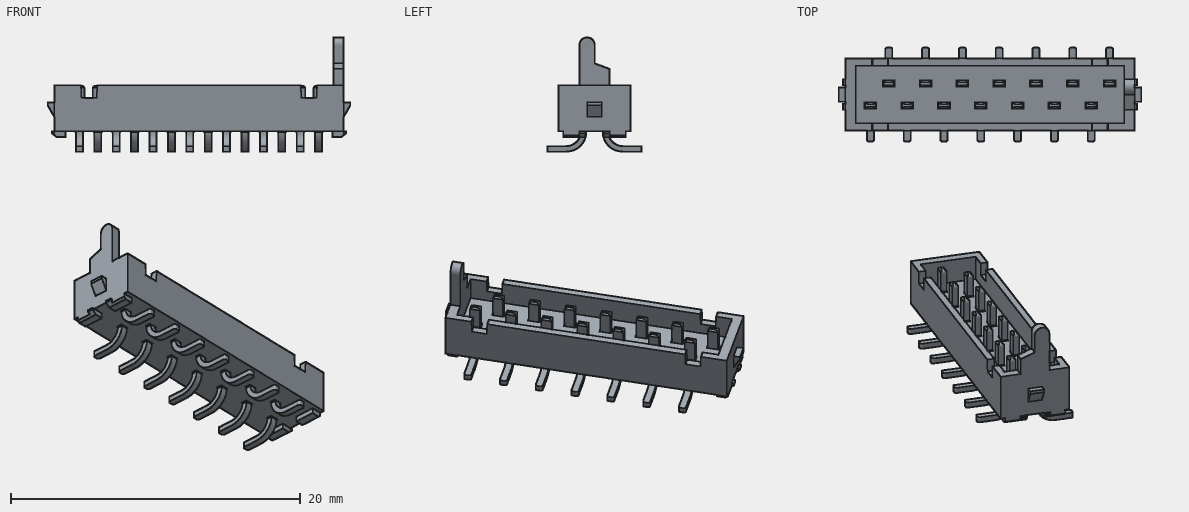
import cadquery as cq


overall_length = 20.9
overall_width = 6.5
latch_reach = 0.45
body_length = overall_length - 2 * latch_reach
body_width = 5.0
body_height = 3.2
end_wall = 0.71
side_wall = 0.5
cavity_depth = 1.7

notch_center_x = 7.59
notch_top_width = 1.13
notch_bottom_width = 1.05
notch_depth = 0.88

latch_width = 1.0
latch_top_z = 2.0
latch_flat_height = 0.2
latch_height = 1.0

foot_length = 0.77
foot_height = 0.4
foot_inner_y = 0.63
foot_outer_y = 2.17
tab_reach = 0.17
tab_outer_y = 1.07
foot_chamfer_run = 0.33
foot_chamfer_rise = 0.27

arm_height = 3.3
arm_half_width = 1.05
arm_tip_width = 1.07
shoulder_low = 1.13
shoulder_high = 1.5

contact_count = 14
contact_span = 16.51
contact_pitch = contact_span / (contact_count - 1)
row_y = 0.75
pin_width = 0.71
pin_thickness = 0.44
pin_below_rim = 0.05
pin_tip_radius = 0.2
pin_tip_chamfer = 0.13
barb = 0.06
leg_width = 0.5
leg_thickness = 0.4
leg_drop = 1.4
leg_end_y = overall_width / 2
leg_end_radius = 0.15

floor_z = body_height - cavity_depth
body_end_x = body_length / 2
embed = 0.2


def centered_box(x_size, y_size, z_size, x=0.0, y=0.0, z=0.0):
    """Box centered on (x, y) with its base at z."""
    return cq.Workplane("XY").box(x_size, y_size, z_size, (True, True, False)).translate((x, y, z))


def extrude_across(points, y_start, y_end):
    """Extrude a closed XZ outline from y_start to y_end."""
    outline = cq.Workplane("XZ", origin=(0, y_start, 0)).polyline(points).close()
    return outline.extrude(y_start - y_end)


def make_housing():
    """Open-topped shroud with two notches through each side wall."""
    housing = centered_box(body_length, body_width, body_height)
    cavity = centered_box(
        body_length - 2 * end_wall, body_width - 2 * side_wall, cavity_depth, z=floor_z
    )
    housing = housing.cut(cavity)
    for side in (-1, 1):
        center = side * notch_center_x
        notch = [
            (center - notch_top_width / 2, body_height),
            (center - notch_bottom_width / 2, body_height - notch_depth),
            (center + notch_bottom_width / 2, body_height - notch_depth),
            (center + notch_top_width / 2, body_height),
        ]
        housing = housing.cut(extrude_across(notch, -body_width / 2, body_width / 2))
    return housing


def make_latch():
    """Wedge latch on the +X end face."""
    tip_x = body_end_x + latch_reach
    outline = [
        (body_end_x - embed, latch_top_z),
        (tip_x, latch_top_z),
        (tip_x, latch_top_z - latch_flat_height),
        (body_end_x, latch_top_z - latch_height),
        (body_end_x - embed, latch_top_z - latch_height),
    ]
    return extrude_across(outline, -latch_width / 2, latch_width / 2)


def make_foot():
    """Foot at the +X, +Y corner: its outer lower edge is cut by one slope shared with the tab."""
    inner_x = body_end_x - foot_length
    tip_x = body_end_x + tab_reach
    tab_outline = [
        (inner_x, 0),
        (tip_x, 0),
        (tip_x, foot_chamfer_rise - foot_height),
        (tip_x - foot_chamfer_run, -foot_height),
        (inner_x, -foot_height),
    ]
    tab = extrude_across(tab_outline, foot_inner_y, tab_outer_y)
    full_width = extrude_across(tab_outline, foot_inner_y, foot_outer_y)
    under_body = centered_box(body_length, body_width, foot_height, z=-foot_height)
    return full_width.intersect(under_body).union(tab)


def make_arm():
    """Round-tipped arm, flush with the +X end wall, with a sloping shoulder on its -Y side."""
    tip_radius = arm_tip_width / 2
    stem_y = arm_half_width - arm_tip_width
    top_z = body_height + arm_height
    outline = (
        cq.Workplane("YZ", origin=(body_end_x - end_wall, 0, 0))
        .moveTo(-arm_half_width, body_height - embed)
        .lineTo(-arm_half_width, body_height + shoulder_low)
        .lineTo(stem_y, body_height + shoulder_high)
        .lineTo(stem_y, top_z - tip_radius)
        .threePointArc((stem_y + tip_radius, top_z), (arm_half_width, top_z - tip_radius))
        .lineTo(arm_half_width, body_height - embed)
        .close()
    )
    return outline.extrude(end_wall)


def make_pin():
    """Blade above the floor: ends rounded in X, sides chamfered in Y, small barbs at the floor."""
    base_z = floor_z - embed
    height = body_height - pin_below_rim - base_z
    rounded = centered_box(pin_width, pin_thickness, height, z=base_z)
    rounded = rounded.faces(">Z").edges("|Y").fillet(pin_tip_radius)
    beveled = centered_box(pin_width, pin_thickness, height, z=base_z)
    beveled = beveled.faces(">Z").edges("|X").chamfer(pin_tip_chamfer)
    return rounded.intersect(beveled)


def make_barbs(width, thickness, face_z, direction):
    """Wedges on both X sides of a contact, tapering away from a housing face."""
    half = width / 2
    outline = [
        (-half - barb, face_z - direction * embed),
        (-half - barb, face_z),
        (-half, face_z + direction * barb),
        (half, face_z + direction * barb),
        (half + barb, face_z),
        (half + barb, face_z - direction * embed),
    ]
    return extrude_across(outline, -thickness / 2, thickness / 2)


def make_leg():
    """Gull-wing leg leaving the underside at Y = 0 and bending toward +Y."""
    half = leg_thickness / 2
    outer_radius = leg_drop
    bend_y = outer_radius - half
    end_y = leg_end_y - row_y
    leg = (
        cq.Workplane("YZ", origin=(-leg_width / 2, 0, 0))
        .moveTo(half, embed)
        .lineTo(-half, embed)
        .lineTo(-half, 0)
        .radiusArc((bend_y, -leg_drop), -outer_radius)
        .lineTo(end_y, -leg_drop)
        .lineTo(end_y, leg_thickness - leg_drop)
        .lineTo(bend_y, leg_thickness - leg_drop)
        .radiusArc((half, 0), outer_radius - leg_thickness)
        .close()
        .extrude(leg_width)
    )
    return leg.faces(">Y").edges("|Z").fillet(leg_end_radius)


def make_contact():
    """One complete contact at the origin, its leg pointing to +Y."""
    contact = make_pin().union(make_barbs(pin_width, pin_thickness, floor_z, 1))
    lower = make_leg().union(make_barbs(leg_width, leg_thickness, 0, -1))
    core = centered_box(leg_width, leg_thickness, floor_z)
    return contact.union(core).union(lower)


result = make_housing().union(make_arm())

latch = make_latch()
foot = make_foot()
feet = foot.union(foot.mirror("XZ"))
result = result.union(latch).union(latch.mirror("YZ"))
result = result.union(feet).union(feet.mirror("YZ"))

back_contact = make_contact()
front_contact = back_contact.mirror("XZ")
for index in range(contact_count):
    contact_x = index * contact_pitch - contact_span / 2
    if index % 2 == 0:
        result = result.union(front_contact.translate((contact_x, -row_y, 0)))
    else:
        result = result.union(back_contact.translate((contact_x, row_y, 0)))